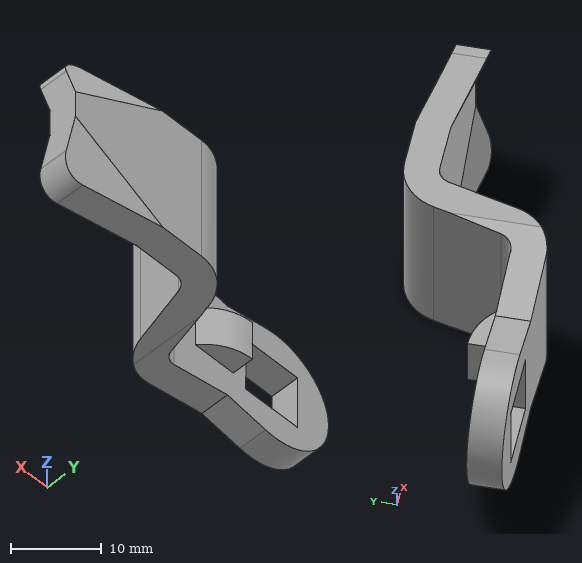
import cadquery as cq
import math

length = 54.0
width = 19.0
offset_depth = 18.0
thickness = 4.0
half_width = width / 2

inner_radius = 2.0
outer_radius = inner_radius + thickness
web_lean = math.radians(15)
lower_bend_x = 24.3

head_radius = 8.5
neck_angle = math.radians(10)
neck_x = 15.95
full_width_x = 27.85
corner_radius = 3.0

hole_side = 8.1
hole_x = 8.95
stop_x = 15.0
stop_length = 5.95
stop_height = 2.95
stop_width = 6.0

fold_start_x = 40.25
fold_end_z = 2.0
fold_drop = 2.4


def bent_sheet():
    """Sheet of constant thickness, bent twice, at full width."""
    upper_bend_y = offset_depth - outer_radius
    rise = upper_bend_y - outer_radius
    run = (inner_radius + outer_radius + rise * math.sin(web_lean)) / math.cos(web_lean)
    lower_center = (lower_bend_x, outer_radius)
    upper_center = (lower_bend_x + run, upper_bend_y)

    half_turn = (math.pi / 2 - web_lean) / 2
    full_turn = 2 * half_turn

    def on_lower(radius, turn):
        return (lower_center[0] + radius * math.sin(turn), lower_center[1] - radius * math.cos(turn))

    def on_upper(radius, turn):
        return (upper_center[0] - radius * math.sin(turn), upper_center[1] + radius * math.cos(turn))

    return (
        cq.Workplane("XY")
        .moveTo(0, 0)
        .lineTo(lower_bend_x, 0)
        .threePointArc(on_lower(outer_radius, half_turn), on_lower(outer_radius, full_turn))
        .lineTo(*on_upper(inner_radius, full_turn))
        .threePointArc(on_upper(inner_radius, half_turn), on_upper(inner_radius, 0))
        .lineTo(length, offset_depth - thickness)
        .lineTo(length, offset_depth)
        .lineTo(upper_center[0], offset_depth)
        .threePointArc(on_upper(outer_radius, half_turn), on_upper(outer_radius, full_turn))
        .lineTo(*on_lower(inner_radius, full_turn))
        .threePointArc(on_lower(inner_radius, half_turn), on_lower(inner_radius, 0))
        .lineTo(0, thickness)
        .close()
        .extrude(half_width, both=True)
    )


def folded_corner(side, drop):
    """Triangular corner of the upper plate, its outer point moved by drop towards -Y."""
    front_y = offset_depth - thickness
    corners = [
        cq.Vector(fold_start_x, front_y, side * half_width),
        cq.Vector(length, front_y, side * fold_end_z),
        cq.Vector(length, front_y - drop, side * half_width),
    ]
    triangle = cq.Wire.makePolygon(corners, close=True)
    return cq.Workplane(cq.Solid.extrudeLinear(triangle, [], cq.Vector(0, thickness, 0)))


def outline():
    """Round head, waisted neck and wide rounded tip, as a block through the full depth."""
    tangent_x = head_radius * (1 + math.sin(neck_angle))
    tangent_z = head_radius * math.cos(neck_angle)
    neck_z = tangent_z - (neck_x - tangent_x) * math.tan(neck_angle)
    return (
        cq.Workplane("XZ")
        .moveTo(tangent_x, tangent_z)
        .lineTo(neck_x, neck_z)
        .lineTo(full_width_x, half_width)
        .lineTo(length, half_width)
        .lineTo(length, -half_width)
        .lineTo(full_width_x, -half_width)
        .lineTo(neck_x, -neck_z)
        .lineTo(tangent_x, -tangent_z)
        .threePointArc((0, 0), (tangent_x, tangent_z))
        .close()
        .extrude(-offset_depth)
        .edges("|Y and >X")
        .fillet(corner_radius)
    )


def square_hole():
    return cq.Workplane("XY").box(hole_side, thickness, hole_side).translate((hole_x, thickness / 2, 0))


def stop():
    """Lug on the back of the lower plate, with a rounded top falling to the plate."""
    arc_radius = (stop_length**2 + stop_height**2) / (2 * stop_height)
    arc_half_angle = math.asin(stop_length / arc_radius) / 2
    top_y = thickness + stop_height
    arc_middle = (
        stop_x + arc_radius * math.sin(arc_half_angle),
        top_y - arc_radius * (1 - math.cos(arc_half_angle)),
    )
    return (
        cq.Workplane("XY")
        .moveTo(stop_x, thickness)
        .lineTo(stop_x, top_y)
        .threePointArc(arc_middle, (stop_x + stop_length, thickness))
        .close()
        .extrude(stop_width / 2, both=True)
    )


sheet = bent_sheet()
for side in (1, -1):
    sheet = sheet.cut(folded_corner(side, 0)).union(folded_corner(side, fold_drop))

result = sheet.intersect(outline()).cut(square_hole()).union(stop())